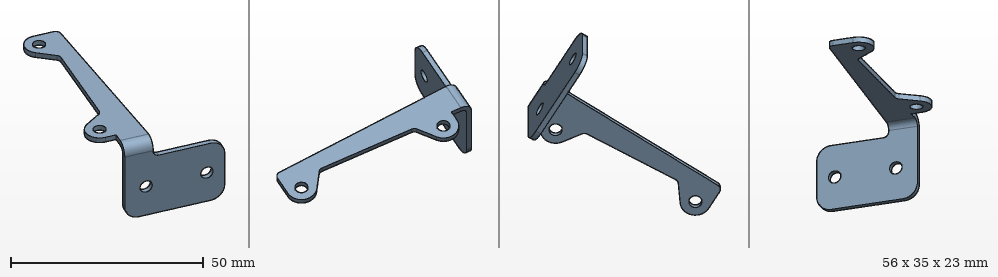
import cadquery as cq
import math

thickness = 1.5
bend_inner_radius = 1.7
bend_outer_radius = bend_inner_radius + thickness
overall_length = 56.0
overall_height = 23.0
hole_diameter = 3.4
small_radius = 1.5

arm_front_y = 3.0
arm_root_width = 8.0
arm_tip_width = 4.0
arm_root_y = arm_front_y + arm_root_width
arm_tip_y = arm_front_y + arm_tip_width
bend_start_x = overall_length - bend_outer_radius

lug_radius = 4.0
lug_spacing = 42.0
lug_slant = math.radians(55.0)
left_lug_x = lug_radius
right_lug_x = left_lug_x + lug_spacing
lug_reach = lug_radius / math.sin(lug_slant) + arm_front_y / math.tan(lug_slant)
slant_touch_dx = lug_radius * math.sin(lug_slant)
slant_touch_y = -lug_radius * math.cos(lug_slant)

leg_width = 28.0
leg_height = 18.0
leg_corner_radius = 4.0
leg_front_y = arm_front_y
leg_back_y = leg_front_y + leg_width
leg_bottom_z = -overall_height
leg_top_z = leg_bottom_z + leg_height
leg_inner_x = overall_length - thickness
leg_hole_z = leg_bottom_z + leg_height / 2
leg_hole_spacing = 17.0
leg_hole_front_margin = 6.0
leg_front_hole_y = leg_front_y + leg_hole_front_margin
leg_back_hole_y = leg_front_hole_y + leg_hole_spacing


def round_corner(body, edge_direction, corner, radius):
    """Round the edge in the given direction whose midpoint is nearest the corner point."""
    edges = body.edges(edge_direction).edges(cq.selectors.NearestToPointSelector(corner))
    return edges.fillet(radius)


def make_arm():
    """Tapered flat arm with its two lugs, up to the start of the bend."""
    outline = (
        cq.Workplane("XY", origin=(0, 0, -thickness))
        .moveTo(0, arm_tip_y)
        .lineTo(0, 0)
        .threePointArc((left_lug_x, -lug_radius), (left_lug_x + slant_touch_dx, slant_touch_y))
        .lineTo(left_lug_x + lug_reach, arm_front_y)
        .lineTo(right_lug_x - lug_reach, arm_front_y)
        .lineTo(right_lug_x - slant_touch_dx, slant_touch_y)
        .threePointArc((right_lug_x, -lug_radius), (right_lug_x + lug_radius, 0))
        .lineTo(right_lug_x + lug_radius, arm_front_y)
        .lineTo(bend_start_x, arm_front_y)
        .lineTo(bend_start_x, arm_root_y)
        .close()
    )
    arm = outline.extrude(thickness)
    rounded_corners = [
        (0, arm_tip_y),
        (left_lug_x + lug_reach, arm_front_y),
        (right_lug_x - lug_reach, arm_front_y),
    ]
    for x, y in rounded_corners:
        arm = round_corner(arm, "|Z", (x, y, -thickness / 2), small_radius)
    holes = (
        cq.Workplane("XY", origin=(0, 0, -thickness))
        .pushPoints([(left_lug_x, 0), (right_lug_x, 0)])
        .circle(hole_diameter / 2)
        .extrude(thickness)
    )
    return arm.cut(holes)


def make_bend():
    """Quarter-turn bend joining the arm to the leg."""
    center_z = -bend_outer_radius
    diagonal = math.sqrt(0.5)
    outer_mid = (bend_start_x + bend_outer_radius * diagonal, center_z + bend_outer_radius * diagonal)
    inner_mid = (bend_start_x + bend_inner_radius * diagonal, center_z + bend_inner_radius * diagonal)
    return (
        cq.Workplane("XZ", origin=(0, arm_front_y, 0))
        .moveTo(bend_start_x, 0)
        .threePointArc(outer_mid, (overall_length, center_z))
        .lineTo(leg_inner_x, center_z)
        .threePointArc(inner_mid, (bend_start_x, -thickness))
        .close()
        .extrude(-arm_root_width)
    )


def make_leg():
    """Upright leg: a wide mounting plate with a narrow neck rising to the bend."""
    leg = (
        cq.Workplane("YZ", origin=(leg_inner_x, 0, 0))
        .moveTo(leg_front_y, -bend_outer_radius)
        .lineTo(leg_front_y, leg_bottom_z)
        .lineTo(leg_back_y, leg_bottom_z)
        .lineTo(leg_back_y, leg_top_z)
        .lineTo(arm_root_y, leg_top_z)
        .lineTo(arm_root_y, -bend_outer_radius)
        .close()
        .extrude(thickness)
    )
    rounded_corners = [
        (leg_front_y, leg_bottom_z, leg_corner_radius),
        (leg_back_y, leg_bottom_z, leg_corner_radius),
        (leg_back_y, leg_top_z, leg_corner_radius),
        (arm_root_y, leg_top_z, small_radius),
    ]
    for y, z, radius in rounded_corners:
        leg = round_corner(leg, "|X", (leg_inner_x + thickness / 2, y, z), radius)
    holes = (
        cq.Workplane("YZ", origin=(leg_inner_x, 0, 0))
        .pushPoints([(leg_front_hole_y, leg_hole_z), (leg_back_hole_y, leg_hole_z)])
        .circle(hole_diameter / 2)
        .extrude(thickness)
    )
    return leg.cut(holes)


result = make_arm().union(make_bend()).union(make_leg())